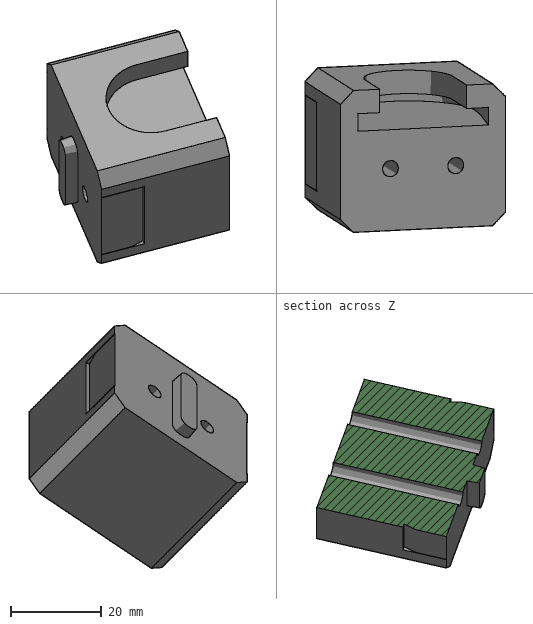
import cadquery as cq
import math

width = 38.0
length = 30.0
height = 32.0
corner_chamfer = 3.0

slot_radius = 10.0
slot_center_y = 18.0
plate_thickness = 5.3

cavity_radius = 15.0
floor_depth = 7.83

crest_start_y = 19.85
crest_radius = 25.0
ramp_angle = 10.0

grip_bottom = 6.0
grip_height = 20.0
grip_length = 10.0
grip_flat_length = 7.0
grip_flat_depth = 0.1
grip_back_depth = 0.9

hole_diameter = 3.6
hole_spacing = 15.0
hole_height = 14.0

key_width = 4.98
key_height = 20.0
key_bottom = 4.0
key_projection = 2.8
key_base_radius = 1.95
key_tip_radius = 1.85
key_side_draft = 0.23
key_top_draft = 0.15


def make_block():
    profile = cq.Workplane("XZ").center(0, height / 2).rect(width, height)
    return profile.extrude(-length).edges("|Y").chamfer(corner_chamfer)


def u_shape(radius, bottom, top):
    """Prism with a semicircular front end, running out through the back face."""
    return (
        cq.Workplane("XY", origin=(0, 0, bottom))
        .moveTo(-radius, length)
        .lineTo(-radius, slot_center_y)
        .threePointArc((0, slot_center_y - radius), (radius, slot_center_y))
        .lineTo(radius, length)
        .close()
        .extrude(top - bottom)
    )


def make_lead_in():
    """Material removed below the flat cavity floor, as wide as the cavity."""
    floor_z = height - floor_depth
    angle = math.radians(ramp_angle)

    def crest_point(turn):
        y = crest_start_y + crest_radius * math.sin(turn)
        z = floor_z - crest_radius * (1 - math.cos(turn))
        return (y, z)

    ramp_start = crest_point(angle)
    ramp_end_z = ramp_start[1] - (length - ramp_start[0]) * math.tan(angle)
    return (
        cq.Workplane("YZ", origin=(-cavity_radius, 0, 0))
        .moveTo(crest_start_y, floor_z)
        .threePointArc(crest_point(angle / 2), ramp_start)
        .lineTo(length, ramp_end_z)
        .lineTo(length, floor_z)
        .close()
        .extrude(2 * cavity_radius)
    )


def make_grip():
    """Recess in the -X face: shallow flat at the front, sloping deeper to a step at the back."""
    side = -width / 2
    outline = [
        (side, 0),
        (side + grip_flat_depth, 0),
        (side + grip_flat_depth, grip_flat_length),
        (side + grip_back_depth, grip_length),
        (side, grip_length),
    ]
    return cq.Workplane("XY", origin=(0, 0, grip_bottom)).polyline(outline).close().extrude(grip_height)


def make_holes():
    centers = [(-hole_spacing / 2, hole_height), (hole_spacing / 2, hole_height)]
    return cq.Workplane("XZ").pushPoints(centers).circle(hole_diameter / 2).extrude(-length)


def make_key():
    base = cq.Sketch().rect(key_width, key_height).vertices().fillet(key_base_radius)
    tip = (
        cq.Sketch()
        .rect(key_width - 2 * key_side_draft, key_height - key_top_draft)
        .vertices()
        .fillet(key_tip_radius)
    )
    base_center = key_bottom + key_height / 2
    tip_center = base_center - key_top_draft / 2
    return (
        cq.Workplane("XZ")
        .placeSketch(
            base.moved(cq.Location(cq.Vector(0, base_center, 0))),
            tip.moved(cq.Location(cq.Vector(0, tip_center, key_projection))),
        )
        .loft()
    )


grip = make_grip()
result = (
    make_block()
    .cut(u_shape(slot_radius, height - plate_thickness, height))
    .cut(u_shape(cavity_radius, height - floor_depth, height - plate_thickness))
    .cut(make_lead_in())
    .cut(grip)
    .cut(grip.mirror("YZ"))
    .cut(make_holes())
    .union(make_key())
)